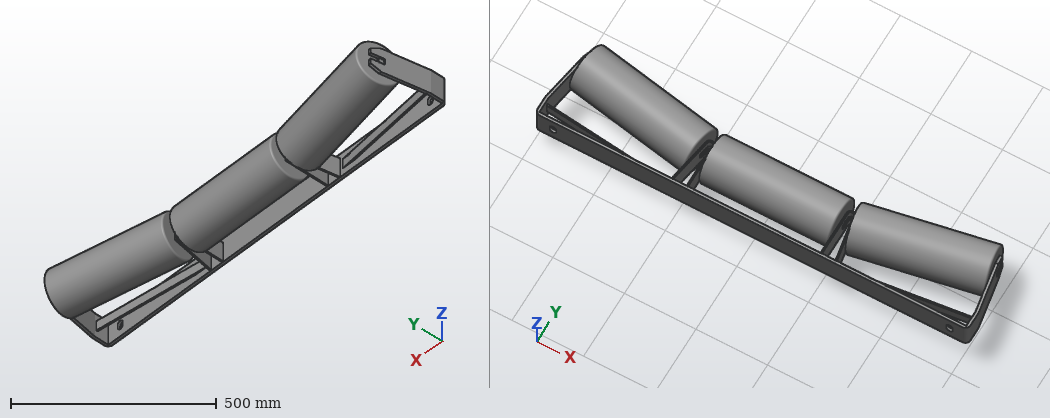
import cadquery as cq
import math

frame_length = 1210.0
strip_height = 76.0
strip_thickness = 8.0
bend_radius = 15.0
kink_y = 53.0
lean_angle = 10.0
leg_tip_y = 225.0
tip_height = 48.0
tip_taper_length = 30.0
tip_slot_end_y = 184.0
mount_hole_x = 554.0
mount_hole_width = 18.0
mount_hole_height = 27.0

roller_diameter = 133.0
drum_length = 362.0
drum_fillet = 5.0
axle_diameter = 17.0
axle_flat_height = 15.0
axle_length = 380.0
centre_roller_y = 126.0
centre_roller_z = -7.0
side_roller_x = 392.0
side_roller_y = 161.0
side_roller_z = -5.0
side_roller_pitch = 1.1

slot_width = 18.0
slot_corner_radius = 4.0
slot_clearance = 1.0

bracket_height = 60.0
bracket_thickness = 4.2
bracket_top_y = 154.0
bracket_upright_x = 185.0
bracket_lean_foot_x = 232.0
bracket_fold_radius = 11.0

brace_height = 30.0
brace_thickness = 5.0
brace_leg_y = 48.0
brace_foot_x = 242.0

lean_slope = math.tan(math.radians(lean_angle))


def axle_slot(end_y, top_y, centre_z):
    """Slot running along Y and through everything in X, with its closed end at end_y."""
    return (
        cq.Workplane("XY")
        .box(2 * frame_length, top_y - end_y, slot_width, centered=(True, False, True))
        .edges("|X and <Y")
        .fillet(slot_corner_radius)
        .translate((0, end_y, centre_z))
    )


def make_frame():
    """Bent strip with its outer front face on y = 0 and its mid height on z = 0."""
    half_length = frame_length / 2
    inner_x = half_length - strip_thickness
    inner_kink_y = kink_y - strip_thickness * math.tan(math.radians(lean_angle / 2))
    lean = math.radians(lean_angle)
    outer_tip = (half_length - (leg_tip_y - kink_y) * lean_slope, leg_tip_y)
    inner_tip = (
        outer_tip[0] - strip_thickness * math.cos(lean),
        outer_tip[1] - strip_thickness * math.sin(lean),
    )
    right_side = [
        (half_length, 0),
        (half_length, kink_y),
        outer_tip,
        inner_tip,
        (inner_x, inner_kink_y),
        (inner_x, strip_thickness),
    ]
    left_side = [(-x, y) for x, y in reversed(right_side)]
    frame = cq.Workplane("XY").polyline(right_side + left_side).close().extrude(strip_height)
    frame = frame.translate((0, 0, -strip_height / 2))

    frame = frame.edges("|Z and <Y").fillet(bend_radius)

    for side in (1, -1):
        taper = (
            cq.Workplane("YZ")
            .polyline([
                (leg_tip_y, side * tip_height / 2),
                (leg_tip_y, side * strip_height / 2),
                (leg_tip_y - tip_taper_length, side * strip_height / 2),
            ])
            .close()
            .extrude(frame_length, both=True)
        )
        frame = frame.cut(taper)

    frame = frame.cut(axle_slot(tip_slot_end_y, leg_tip_y, 0))

    mount_holes = (
        cq.Workplane("XZ")
        .pushPoints([(-mount_hole_x, 0), (mount_hole_x, 0)])
        .slot2D(mount_hole_height, mount_hole_width, 90)
        .extrude(-strip_thickness)
    )
    return frame.cut(mount_holes)


def cylinder_along_x(diameter, length):
    """Cylinder centred on the origin with its axis along X."""
    return cq.Workplane("YZ").circle(diameter / 2).extrude(length).translate((-length / 2, 0, 0))


def make_roller():
    """Roller centred on the origin with its axis along X."""
    drum = cylinder_along_x(roller_diameter, drum_length).faces("<X or >X").edges().fillet(drum_fillet)
    axle = cylinder_along_x(axle_diameter, axle_length)
    axle = axle.intersect(cq.Workplane("XY").box(axle_length, axle_diameter, axle_flat_height))
    return drum.union(axle)


def make_side_roller(side):
    """Side roller with its outer end swung back and raised; side is +1 or -1 along X."""
    return (
        make_roller()
        .rotate((0, 0, 0), (0, 1, 0), -side * side_roller_pitch)
        .rotate((0, 0, 0), (0, 0, 1), side * lean_angle)
        .translate((side * side_roller_x, side_roller_y, side_roller_z))
    )


def bracket_block(side, inset):
    """Solid filling the folded strap's outer outline, moved inward by inset on its legs and fold."""
    lean_inset = inset / math.cos(math.radians(lean_angle))
    top_y = bracket_top_y - inset
    upright_x = bracket_upright_x + inset
    foot_x = bracket_lean_foot_x - lean_inset
    outline = [
        (upright_x, strip_thickness),
        (upright_x, top_y),
        (foot_x - (top_y - strip_thickness) * lean_slope, top_y),
        (foot_x, strip_thickness),
    ]
    block = (
        cq.Workplane("XY")
        .polyline([(side * x, y) for x, y in outline])
        .close()
        .extrude(bracket_height)
        .translate((0, 0, centre_roller_z - bracket_height / 2))
    )
    return block.edges("|Z and >Y").fillet(bracket_fold_radius - inset)


def make_bracket(side):
    """Folded strap with an upright leg by the centre roller and a leaning leg by the side roller."""
    bracket = bracket_block(side, 0).cut(bracket_block(side, bracket_thickness))
    slot_end_y = centre_roller_y - axle_diameter / 2 - slot_clearance
    return bracket.cut(axle_slot(slot_end_y, bracket_top_y, centre_roller_z))


def make_brace(side):
    """Straight strip between the back of the frame and the inside of one leg."""
    leg_x = frame_length / 2 - strip_thickness
    slope = (brace_leg_y - strip_thickness) / (leg_x - brace_foot_x)
    foot_length = brace_thickness / slope
    outline = [
        (leg_x, brace_leg_y),
        (brace_foot_x, strip_thickness),
        (brace_foot_x + foot_length, strip_thickness),
        (leg_x, brace_leg_y - brace_thickness),
    ]
    return (
        cq.Workplane("XY")
        .polyline([(side * x, y) for x, y in outline])
        .close()
        .extrude(brace_height)
        .translate((0, 0, -brace_height / 2))
    )


frame = make_frame()
centre_roller = make_roller().translate((0, centre_roller_y, centre_roller_z))
bodies = [frame.val(), centre_roller.val()]

for side in (-1, 1):
    bodies.append(make_side_roller(side).val())
    bodies.append(make_bracket(side).val())
    bodies.append(make_brace(side).val())

result = cq.Compound.makeCompound(bodies)